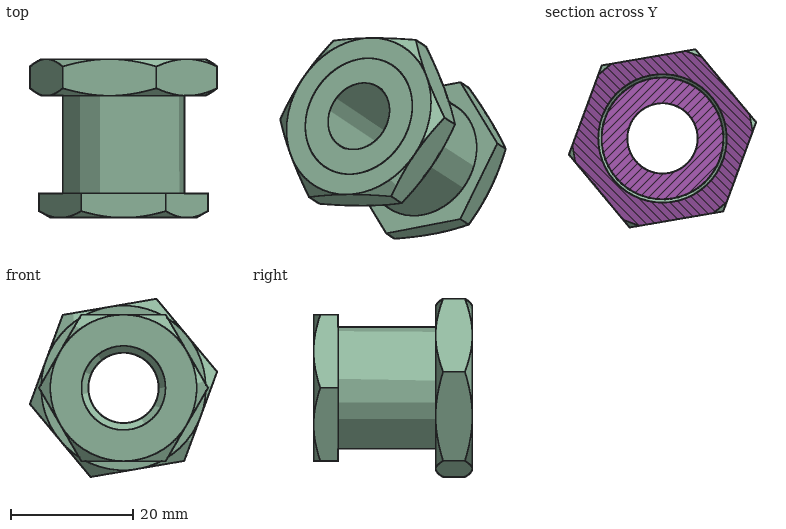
import cadquery as cq
import math

OVERALL_WIDTH = 30.72
TOTAL_LENGTH = 26.0
NUT_TILT = 9.76
NUT_THICKNESS = 6.0
HEAD_ACROSS_FLATS = 24.0
HEAD_THICKNESS = 4.0
SHANK_DIAMETER = 20.0
BORE_DIAMETER = 11.5
BORE_MOUTH_DIAMETER = 13.8
NUT_RECESS_DIAMETER = 21.0
NUT_RECESS_DEPTH = 1.55
HEX_CHAMFER_ANGLE = 30.0
COUNTERSINK_ANGLE = 45.0

FRONT_Y = -TOTAL_LENGTH / 2
BACK_Y = TOTAL_LENGTH / 2
NUT_FRONT_Y = BACK_Y - NUT_THICKNESS
HEX_FLAT_RATIO = math.cos(math.radians(30))
NUT_ACROSS_FLATS = OVERALL_WIDTH / math.cos(math.radians(NUT_TILT)) * HEX_FLAT_RATIO


def cylinder(diameter, start_y, length):
    """Cylinder on the Y axis, from start_y towards the back."""
    plane = cq.Workplane("XZ", origin=(0, start_y, 0))
    return plane.circle(diameter / 2).extrude(-length)


def countersink(mouth_diameter, hole_diameter, mouth_y):
    """Conical cutter narrowing from the mouth towards the back."""
    mouth_radius = mouth_diameter / 2
    hole_radius = hole_diameter / 2
    depth = (mouth_radius - hole_radius) / math.tan(math.radians(COUNTERSINK_ANGLE))
    bottom_y = mouth_y + depth
    profile = cq.Workplane("XY").polyline(
        [(0, mouth_y), (mouth_radius, mouth_y), (hole_radius, bottom_y), (0, bottom_y)]
    )
    return profile.close().revolve(360, (0, 0, 0), (0, 1, 0))


def hexagon(across_flats, start_y, thickness, chamfer_back):
    """Hexagonal block with its corners turned off by a cone at the front, and optionally the back."""
    across_corners = across_flats / HEX_FLAT_RATIO
    flat_radius = across_flats / 2
    corner_radius = across_corners / 2
    chamfer_depth = (corner_radius - flat_radius) * math.tan(math.radians(HEX_CHAMFER_ANGLE))
    end_y = start_y + thickness
    points = [(0, start_y), (flat_radius, start_y), (corner_radius, start_y + chamfer_depth)]
    if chamfer_back:
        points += [(corner_radius, end_y - chamfer_depth), (flat_radius, end_y)]
    else:
        points += [(corner_radius, end_y)]
    points += [(0, end_y)]
    envelope = cq.Workplane("XY").polyline(points).close().revolve(360, (0, 0, 0), (0, 1, 0))
    plane = cq.Workplane("XZ", origin=(0, start_y, 0))
    return plane.polygon(6, across_corners).extrude(-thickness).intersect(envelope)


def make_hollow_bolt():
    """Hexagonal head and plain shank with a through bore countersunk at the head."""
    head = hexagon(HEAD_ACROSS_FLATS, FRONT_Y, HEAD_THICKNESS, chamfer_back=False)
    shank = cylinder(SHANK_DIAMETER, FRONT_Y + HEAD_THICKNESS, TOTAL_LENGTH - HEAD_THICKNESS)
    bore = cylinder(BORE_DIAMETER, FRONT_Y, TOTAL_LENGTH)
    bore_mouth = countersink(BORE_MOUTH_DIAMETER, BORE_DIAMETER, FRONT_Y)
    return head.union(shank).cut(bore).cut(bore_mouth)


def make_nut():
    """Tilted nut on the shank, chamfered at both ends, with a cone-bottomed recess at the front."""
    block = hexagon(NUT_ACROSS_FLATS, NUT_FRONT_Y, NUT_THICKNESS, chamfer_back=True)
    nut = block.cut(cylinder(SHANK_DIAMETER, NUT_FRONT_Y, NUT_THICKNESS))
    recess = cylinder(NUT_RECESS_DIAMETER, NUT_FRONT_Y, NUT_RECESS_DEPTH)
    recess_bottom = countersink(
        NUT_RECESS_DIAMETER, SHANK_DIAMETER, NUT_FRONT_Y + NUT_RECESS_DEPTH
    )
    nut = nut.cut(recess).cut(recess_bottom)
    return nut.rotate((0, 0, 0), (0, 1, 0), -NUT_TILT)


hollow_bolt = make_hollow_bolt()
nut = make_nut()

result = cq.Compound.makeCompound([hollow_bolt.val(), nut.val()])